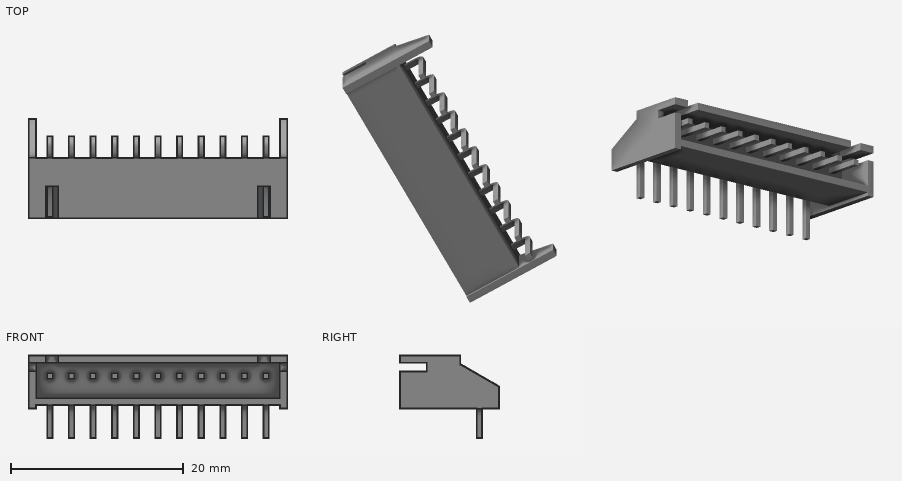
import cadquery as cq

LENGTH = 29.9
HEIGHT = 6.15
BODY_DEPTH = 7.0
STANDOFF = 0.4
WALL = 0.85
FLOOR = 0.82
ROOF = .85
CAVITY_DEPTH = 4.7

WING_END = 11.5
WING_TOP_Z = 5.15
WING_TAIL_Z = 2.55

SIDE_SLOT_DEPTH = 3.1
SIDE_SLOT_HEIGHT = 1.0
ROOF_SLOT_DEPTH = 3.7
ROOF_SLOT_WIDTH = 1.45
ROOF_SLOT_INSET = 1.95

PIN_COUNT = 11
PIN_PITCH = 2.5
PIN_SIZE = 0.64
PIN_TIP_Y = 0.2
PIN_AXIS_Z = 3.77
PIN_LEG_Y = 9.2
PIN_LEG_LENGTH = 3.4
BEND_INNER_RADIUS = 0.6
BEND_OUTER_RADIUS = BEND_INNER_RADIUS + PIN_SIZE


def box(x_range, y_range, z_range):
    """Box spanning the given (low, high) ranges."""
    spans = [high - low for low, high in (x_range, y_range, z_range)]
    corner = (x_range[0], y_range[0], z_range[0])
    return cq.Workplane("XY").box(*spans, centered=False).translate(corner)


def make_end_wall(start_x):
    """End wall with its sloped rear wing, standing on the board."""
    return (
        cq.Workplane("YZ", origin=(start_x, 0, 0))
        .moveTo(0, 0)
        .lineTo(WING_END, 0)
        .lineTo(WING_END, WING_TAIL_Z)
        .lineTo(BODY_DEPTH, WING_TOP_Z)
        .lineTo(BODY_DEPTH, HEIGHT)
        .lineTo(0, HEIGHT)
        .close()
        .extrude(WALL)
    )


def make_housing():
    half_length = LENGTH / 2
    inner_half = half_length - WALL
    ceiling_z = HEIGHT - ROOF

    housing = box((-half_length, half_length), (0, BODY_DEPTH), (STANDOFF, HEIGHT))
    for start_x in (-half_length, inner_half):
        housing = housing.union(make_end_wall(start_x))

    cavity = box((-inner_half, inner_half), (0, CAVITY_DEPTH), (STANDOFF + FLOOR, ceiling_z))
    housing = housing.cut(cavity)

    side_slots = box(
        (-half_length, half_length),
        (0, SIDE_SLOT_DEPTH),
        (ceiling_z - SIDE_SLOT_HEIGHT, ceiling_z),
    )
    housing = housing.cut(side_slots)

    slot_outer_x = half_length - ROOF_SLOT_INSET
    slot_inner_x = slot_outer_x - ROOF_SLOT_WIDTH
    for x_range in ((-slot_outer_x, -slot_inner_x), (slot_inner_x, slot_outer_x)):
        housing = housing.cut(box(x_range, (0, ROOF_SLOT_DEPTH), (ceiling_z, HEIGHT)))
    return housing


def make_pin(center_x):
    """Square pin running back from the cavity and bending down to the board."""
    half_size = PIN_SIZE / 2
    top_z = PIN_AXIS_Z + half_size
    underside_z = PIN_AXIS_Z - half_size
    leg_back_y = PIN_LEG_Y + half_size
    leg_front_y = PIN_LEG_Y - half_size
    bend_start_y = leg_back_y - BEND_OUTER_RADIUS
    bend_end_z = top_z - BEND_OUTER_RADIUS
    return (
        cq.Workplane("YZ", origin=(center_x, 0, 0))
        .moveTo(PIN_TIP_Y, underside_z)
        .lineTo(PIN_TIP_Y, top_z)
        .lineTo(bend_start_y, top_z)
        .radiusArc((leg_back_y, bend_end_z), BEND_OUTER_RADIUS)
        .lineTo(leg_back_y, -PIN_LEG_LENGTH)
        .lineTo(leg_front_y, -PIN_LEG_LENGTH)
        .lineTo(leg_front_y, bend_end_z)
        .radiusArc((bend_start_y, underside_z), -BEND_INNER_RADIUS)
        .close()
        .extrude(half_size, both=True)
    )


result = make_housing()
for index in range(PIN_COUNT):
    pin_x = (index - (PIN_COUNT - 1) / 2) * PIN_PITCH
    result = result.union(make_pin(pin_x))